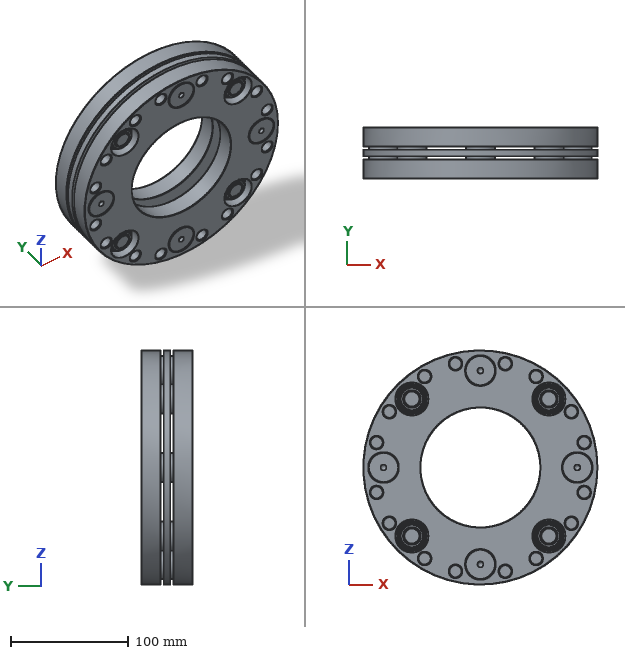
import cadquery as cq
import math

outer_diameter = 200.0
total_depth = 44.2
plate_depth = 16.5
ring_depth = 5.8
plate_bore = 102.0
ring_bore = 130.0
edge_chamfer = 0.5
hole_edge_chamfer = 0.2

station_radius = 82.5
plug_angles = [0, 90, 180, 270]
stud_angles = [45, 135, 225, 315]
spacer_diameter = 25.0

plug_diameter = 25.5
plug_hole_diameter = 26.0
plug_groove_depth = 1.0
plug_chamfer = 0.5
center_hole_diameter = 5.0
center_hole_depth = 4.0
drill_tip_angle = 118.0

pocket_diameter = 28.0
pocket_depth = 10.0
clearance_diameter = 25.0
clearance_depth = 13.0
lower_collar_diameter = 24.0
upper_collar_diameter = 21.2
shoulder_diameter = 19.0
ledge_width = 0.2
collar_step = 4.0
collar_slope = 30.0
shoulder_recess = 4.5
tip_diameter = 14.5
tip_height = 1.2
tip_chamfer = 0.8
tip_countersink = 0.5

small_hole_radius = 91.0
small_hole_offset_angle = 13.5
small_hole_diameter = 10.2
small_hole_depth = plate_depth
small_hole_chamfer = 0.8

gap = (total_depth - 2 * plate_depth - ring_depth) / 2
front = -total_depth / 2


def disc(diameter, start, depth):
    """Solid disc centred on the Y axis, from Y = start towards +Y."""
    plane = cq.Workplane("XZ", origin=(0, start, 0))
    return plane.circle(diameter / 2).extrude(-depth)


def place(shape, radius, angle):
    """Copy of a shape, moved out from the Y axis by radius at the given angle in the XZ plane."""
    turn = math.radians(angle)
    return shape.translate((radius * math.cos(turn), 0, radius * math.sin(turn)))


def annulus(outer, bore, start, depth):
    return disc(outer, start, depth).cut(disc(bore, start, depth))


def plate(start):
    return annulus(outer_diameter, plate_bore, start, plate_depth).faces("|Y").edges().chamfer(edge_chamfer)


def turned(points):
    """Solid of revolution about the Y axis from (radius, Y) points."""
    return cq.Workplane("XY").polyline(points).close().revolve(360, (0, 0, 0), (0, 1, 0))


def plug_cut():
    """Groove around a plug and the drilled hole in its centre."""
    hole_radius = plug_hole_diameter / 2
    plug_radius = plug_diameter / 2
    groove_floor = front + plug_groove_depth
    groove = turned([
        (plug_radius - plug_chamfer, front),
        (hole_radius + hole_edge_chamfer, front),
        (hole_radius, front + hole_edge_chamfer),
        (hole_radius, groove_floor),
        (plug_radius, groove_floor),
        (plug_radius, front + plug_chamfer),
    ])
    radius = center_hole_diameter / 2
    tip = radius / math.tan(math.radians(drill_tip_angle / 2))
    floor = front + center_hole_depth
    drill = turned([(0, front), (radius, front), (radius, floor), (0, floor + tip)])
    return groove.union(drill)


def pocket():
    """Round pocket with a lightly broken front edge and a clearance hole in its floor."""
    radius = pocket_diameter / 2
    mouth = radius + hole_edge_chamfer
    floor = front + pocket_depth
    bore = turned([(0, front), (mouth, front), (radius, front + hole_edge_chamfer), (radius, floor), (0, floor)])
    return bore.union(disc(clearance_diameter, front, clearance_depth))


def stud():
    """Stud end rising from the bottom of the clearance hole, with its tip nearest to the front face."""
    slope = math.tan(math.radians(collar_slope))
    tip_radius = tip_diameter / 2
    shoulder_radius = shoulder_diameter / 2
    upper_radius = upper_collar_diameter / 2
    ledge_radius = upper_radius + ledge_width
    lower_radius = lower_collar_diameter / 2
    floor = front + clearance_depth
    shoulder = front + shoulder_recess
    tip_end = shoulder - tip_height
    upper_rim = shoulder + slope * (upper_radius - shoulder_radius)
    ledge = upper_rim + collar_step
    lower_rim = ledge + slope * (lower_radius - ledge_radius)
    return turned([
        (0, tip_end),
        (tip_radius - tip_chamfer, tip_end),
        (tip_radius, tip_end + tip_chamfer),
        (tip_radius, shoulder + tip_countersink),
        (tip_radius + tip_countersink, shoulder),
        (shoulder_radius, shoulder),
        (upper_radius, upper_rim),
        (upper_radius, ledge),
        (ledge_radius, ledge),
        (lower_radius, lower_rim),
        (lower_radius, floor),
        (0, floor),
    ])


def small_hole():
    radius = small_hole_diameter / 2
    mouth = radius + small_hole_chamfer
    floor = front + small_hole_depth
    return turned([(0, front), (mouth, front), (radius, front + small_hole_chamfer), (radius, floor), (0, floor)])


front_plate = plate(front)
for angle in plug_angles:
    front_plate = front_plate.cut(place(plug_cut(), station_radius, angle))
for angle in stud_angles:
    front_plate = front_plate.cut(place(pocket(), station_radius, angle))
    front_plate = front_plate.union(place(stud(), station_radius, angle))
for angle in plug_angles + stud_angles:
    for side in (-1, 1):
        hole_angle = angle + side * small_hole_offset_angle
        front_plate = front_plate.cut(place(small_hole(), small_hole_radius, hole_angle))

middle_ring = annulus(outer_diameter, ring_bore, -ring_depth / 2, ring_depth)
rear_plate = plate(total_depth / 2 - plate_depth)

result = front_plate.union(middle_ring).union(rear_plate)
for angle in plug_angles + stud_angles:
    spacer = disc(spacer_diameter, front + plate_depth, gap)
    result = result.union(place(spacer, station_radius, angle))
    result = result.union(place(spacer.translate((0, gap + ring_depth, 0)), station_radius, angle))